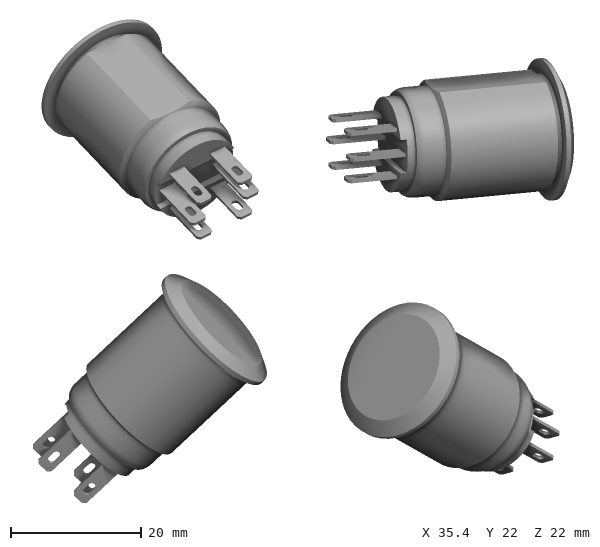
import cadquery as cq
import math


length = 35.4

face_diameter = 17.38
flange_diameter = 22.0
neck_diameter = 17.5
barrel_diameter = 18.85
sleeve_diameter = 17.1
sleeve_end_diameter = 16.25
base_diameter = 14.8

flange_bevel_end = 1.25
flange_end = 2.0
neck_end = 2.83
barrel_end = 20.15
barrel_taper_end = 20.67
sleeve_straight_end = 23.85
sleeve_end = 25.28
base_end = 27.55

flat_height = 8.7

channel_width = 5.35
channel_depth = 1.0
channel_floor = base_end - channel_depth

terminal_thickness = 0.53
terminal_row_pitch = 3.805
terminal_chamfer = 0.45
terminal_embed = 0.35
outer_terminal_width = 2.73
outer_terminal_offset = 3.8
middle_terminal_width = 2.83
middle_terminal_offset = 4.92
eyelet_length = 2.2
eyelet_width = 1.2
eyelet_center = 32.92


def make_body():
    """Turned body with a bevelled flange, tapered barrel and rounded sleeve."""
    sleeve_radius = sleeve_diameter / 2
    sleeve_end_radius = sleeve_end_diameter / 2

    run = sleeve_end - sleeve_straight_end
    drop = sleeve_radius - sleeve_end_radius
    rounding_radius = (run**2 + drop**2) / (2 * drop)
    half_sweep = math.asin(run / rounding_radius) / 2
    rounding_middle = (
        sleeve_straight_end + rounding_radius * math.sin(half_sweep),
        sleeve_radius - rounding_radius * (1 - math.cos(half_sweep)),
    )

    profile = (
        cq.Workplane("XY")
        .moveTo(0, 0)
        .lineTo(0, face_diameter / 2)
        .lineTo(flange_bevel_end, flange_diameter / 2)
        .lineTo(flange_end, flange_diameter / 2)
        .lineTo(flange_end, neck_diameter / 2)
        .lineTo(neck_end, neck_diameter / 2)
        .lineTo(neck_end, barrel_diameter / 2)
        .lineTo(barrel_end, barrel_diameter / 2)
        .lineTo(barrel_taper_end, sleeve_radius)
        .lineTo(sleeve_straight_end, sleeve_radius)
        .threePointArc(rounding_middle, (sleeve_end, sleeve_end_radius))
        .lineTo(sleeve_end, base_diameter / 2)
        .lineTo(base_end, base_diameter / 2)
        .lineTo(base_end, 0)
        .close()
    )
    return profile.revolve(360, (0, 0, 0), (1, 0, 0))


def make_barrel_flat():
    """Material removed above the flat, from the neck step to the end of the taper."""
    return cq.Workplane("XY").box(
        barrel_taper_end - neck_end,
        barrel_diameter,
        barrel_diameter,
        centered=(False, True, False),
    ).translate((neck_end, 0, flat_height))


def make_channel():
    """Slot right across the back of the base, along Y."""
    return cq.Workplane("XY").box(
        channel_depth,
        base_diameter,
        channel_width,
        centered=(False, True, True),
    ).translate((channel_floor, 0, 0))


def make_terminal(root, width, y, z):
    """Flat blade from the face at X = root to the back end, with chamfered tip and eyelet."""
    start = root - terminal_embed
    blade = (
        cq.Workplane("XY")
        .box(length - start, width, terminal_thickness, centered=(False, True, True))
        .translate((start, 0, 0))
        .edges("|Z and >X")
        .chamfer(terminal_chamfer)
    )
    eyelet = (
        cq.Workplane("XY")
        .center(eyelet_center, 0)
        .slot2D(eyelet_length, eyelet_width)
        .extrude(terminal_thickness, both=True)
    )
    return blade.cut(eyelet).translate((0, y, z))


result = make_body().cut(make_barrel_flat()).cut(make_channel())

for side in (-1, 1):
    result = result.union(
        make_terminal(channel_floor, middle_terminal_width, side * middle_terminal_offset, 0)
    )
    for level in (-1, 1):
        result = result.union(
            make_terminal(
                base_end,
                outer_terminal_width,
                side * outer_terminal_offset,
                level * terminal_row_pitch,
            )
        )